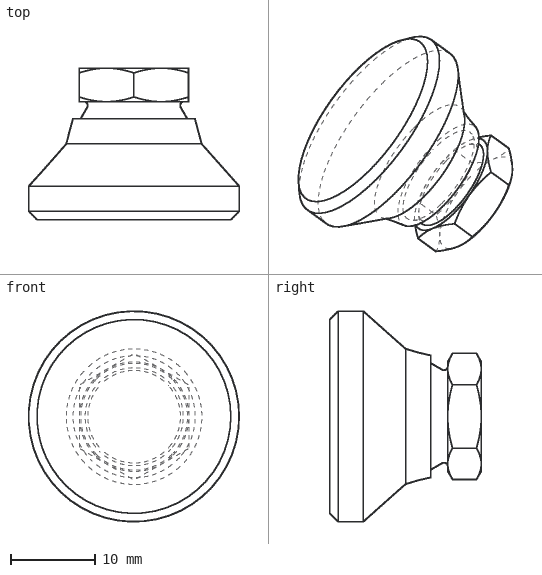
import cadquery as cq
import math

pad_radius = 25.0 / 2
pad_chamfer = 1.0
rim_top = 4.0
flare_top = 9.0
flare_top_radius = 8.05
pad_top = 12.0
pad_top_radius = 7.25

neck_radius = 5.5
neck_groove_radius = 0.45
neck_groove_center = 13.57
neck_cone_angle = math.radians(30)

hex_bottom = 14.0
hex_top = 18.0
hex_across_flats = 13.0
hex_chamfer_angle = math.radians(30)


def revolve_about_y(profile):
    return profile.close().revolve(360, (0, 0, 0), (0, 1, 0))


def make_pad():
    """Disc with a chamfered foot, a conical flare and a steeper conical collar."""
    profile = (
        cq.Workplane("XY")
        .lineTo(pad_radius - pad_chamfer, 0)
        .lineTo(pad_radius, pad_chamfer)
        .lineTo(pad_radius, rim_top)
        .lineTo(flare_top_radius, flare_top)
        .lineTo(pad_top_radius, pad_top)
        .lineTo(0, pad_top)
    )
    return revolve_about_y(profile)


def make_neck():
    """Cone narrowing upwards into a round groove under the hexagon."""
    groove_axis_radius = neck_radius + neck_groove_radius
    cone_top = neck_groove_center - neck_groove_radius * math.sin(neck_cone_angle)
    cone_top_radius = groove_axis_radius - neck_groove_radius * math.cos(neck_cone_angle)
    cone_bottom_radius = cone_top_radius + (cone_top - pad_top) * math.tan(neck_cone_angle)
    groove_rise = hex_bottom - neck_groove_center
    groove_end_radius = groove_axis_radius - math.sqrt(neck_groove_radius**2 - groove_rise**2)
    profile = (
        cq.Workplane("XY")
        .moveTo(0, pad_top)
        .lineTo(cone_bottom_radius, pad_top)
        .lineTo(cone_top_radius, cone_top)
        .threePointArc((neck_radius, neck_groove_center), (groove_end_radius, hex_bottom))
        .lineTo(0, hex_bottom)
    )
    return revolve_about_y(profile)


def make_hexagon():
    """Hexagon with corners on +Z and -Z, its corners chamfered at both ends."""
    flat_radius = hex_across_flats / 2
    corner_radius = flat_radius / math.cos(math.pi / 6)
    corners = []
    for index in range(6):
        angle = math.pi / 2 + index * math.pi / 3
        corners.append((corner_radius * math.cos(angle), corner_radius * math.sin(angle)))
    height = hex_top - hex_bottom
    prism = (
        cq.Workplane("XZ", origin=(0, hex_bottom, 0))
        .polyline(corners)
        .close()
        .extrude(-height)
    )

    trim_radius = flat_radius + height / 2 / math.tan(hex_chamfer_angle)
    trim = revolve_about_y(
        cq.Workplane("XY")
        .moveTo(0, hex_bottom)
        .lineTo(flat_radius, hex_bottom)
        .lineTo(trim_radius, hex_bottom + height / 2)
        .lineTo(flat_radius, hex_top)
        .lineTo(0, hex_top)
    )
    return prism.intersect(trim)


result = make_pad().union(make_neck()).union(make_hexagon())